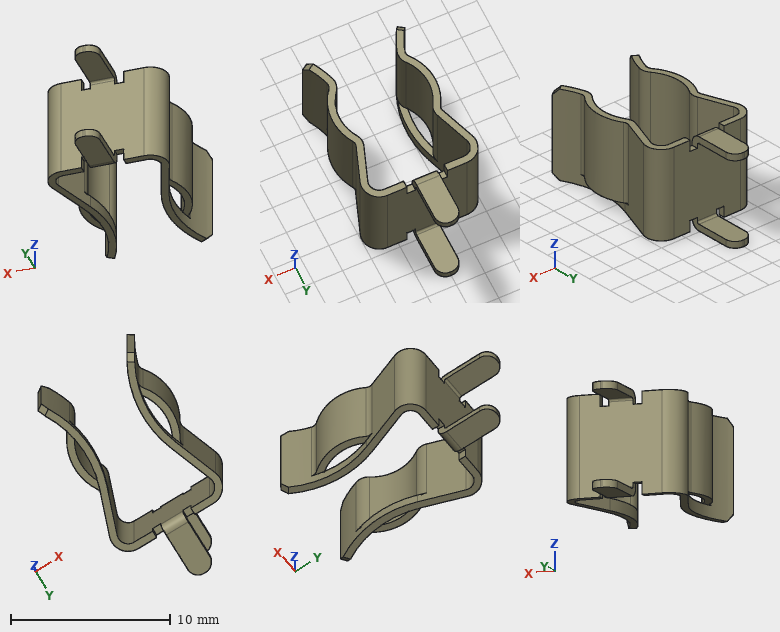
import cadquery as cq
import math


thickness = 0.5
body_width = 7.95
body_height = 6.6
leg_length = 11.0

corner_radius = 1.2
leg_tilt = 20.0

grip_center = (0.0, -6.3)
grip_radius = 3.57
bend_radius = 0.5

flare_radius = 6.82
flare_start_y = -4.6
tip_chamfer = 0.5

strip_height = 0.8

tab_width = 1.62
tab_reach = 3.5
tab_overhang = 0.1
tab_inner_radius = 0.16
tab_tip_radius = 0.75
notch_width = 2.81
notch_depth = 0.8

half_height = body_height / 2


def polar(center, radius, angle):
    """Point at the given radius and angle (degrees) from a centre."""
    a = math.radians(angle)
    return (center[0] + radius * math.cos(a), center[1] + radius * math.sin(a))


def direction(start, end):
    """Angle from one point to another, in degrees from 0 to 360."""
    return math.degrees(math.atan2(end[1] - start[1], end[0] - start[0])) % 360


def circle_crossing(center_a, radius_a, center_b, radius_b):
    """Crossing of two circles that lies to the right of the line from a to b."""
    distance = math.dist(center_a, center_b)
    cosine = (radius_a**2 + distance**2 - radius_b**2) / (2 * radius_a * distance)
    return polar(center_a, radius_a, direction(center_a, center_b) - math.degrees(math.acos(cosine)))


corner_center = (body_width / 2 - corner_radius, -corner_radius)
line_start = polar(corner_center, corner_radius, -leg_tilt)
line_slope = math.tan(math.radians(leg_tilt))
flare_start = (line_start[0] + (flare_start_y - line_start[1]) * line_slope, flare_start_y)
flare_center = polar(flare_start, flare_radius, -leg_tilt)

line_offset = polar(line_start, bend_radius, -leg_tilt)
bend_center_reach = grip_radius + bend_radius
line_normal = polar((0, 0), 1, -leg_tilt)
normal_gap = sum((p - c) * n for p, c, n in zip(line_offset, grip_center, line_normal))
upper_angle = math.degrees(math.acos(normal_gap / bend_center_reach)) - leg_tilt
upper_bend_center = polar(grip_center, bend_center_reach, upper_angle)
lower_bend_center = circle_crossing(grip_center, bend_center_reach, flare_center, flare_radius - bend_radius)
lower_angle = direction(grip_center, lower_bend_center) - 360

tip_drop = leg_length + flare_center[1]
tip_angle = 180 + math.degrees(math.asin(tip_drop / (flare_radius + thickness)))
flare_join_angle = direction(flare_center, lower_bend_center)

corner_bend = (corner_center, corner_radius, -1, 90, -leg_tilt)
grip_bends = [
    corner_bend,
    (upper_bend_center, bend_radius, 1, 180 - leg_tilt, upper_angle + 180),
    (grip_center, grip_radius, -1, upper_angle, lower_angle),
    (lower_bend_center, bend_radius, 1, lower_angle + 180, flare_join_angle),
    (flare_center, flare_radius, 1, flare_join_angle, tip_angle),
]
strip_bends = [
    corner_bend,
    (flare_center, flare_radius, 1, 180 - leg_tilt, tip_angle),
]


def trace_arc(sketch, pen, center, radius, start, end):
    """Add an arc, with a straight run from the pen to its start where they are apart."""
    tolerance = 1.45e-07
    arc_start = polar(center, radius, start)
    arc_end = polar(center, radius, end)
    if math.dist(pen, arc_start) > tolerance:
        sketch = sketch.lineTo(*arc_start)
    sketch = sketch.threePointArc(polar(center, radius, (start + end) / 2), arc_end)
    return sketch, arc_end


def half_band(bends, bottom, height):
    """Back wall and +X leg following the bends, from Z = bottom upward."""
    pen = (0, 0)
    sketch = cq.Workplane("XY").workplane(offset=bottom).moveTo(*pen)
    for center, radius, _, start, end in bends:
        sketch, pen = trace_arc(sketch, pen, center, radius, start, end)
    for center, radius, side, start, end in reversed(bends):
        sketch, pen = trace_arc(sketch, pen, center, radius + side * thickness, end, start)
    return sketch.lineTo(0, -thickness).close().extrude(height)


def half_clip():
    """+X half of the clip with the corners of its leg end chamfered."""
    strip = half_band(strip_bends, -half_height, strip_height)
    grip = half_band(grip_bends, strip_height - half_height, body_height - strip_height)
    tip = polar(flare_center, flare_radius + thickness / 2, tip_angle)
    half = strip.union(grip)
    for z in (-half_height, half_height):
        half = half.edges(cq.NearestToPointSelector((*tip, z))).chamfer(tip_chamfer)
    return half


def notch():
    """Cutter for the opening around the upper tab."""
    return (
        cq.Workplane("XY")
        .box(notch_width, 2 * thickness, notch_depth, centered=(True, True, False))
        .translate((0, -thickness / 2, half_height - notch_depth))
    )


def tab():
    """Upper tab: rises from the back wall, bends back and ends in a rounded tip."""
    top = half_height + tab_overhang
    root = half_height - notch_depth
    outer_radius = tab_inner_radius + thickness
    bend_center = (tab_inner_radius, top - outer_radius)
    return (
        cq.Workplane("YZ")
        .moveTo(-thickness, root)
        .lineTo(-thickness, bend_center[1])
        .threePointArc(polar(bend_center, outer_radius, 135), (bend_center[0], top))
        .lineTo(tab_reach, top)
        .lineTo(tab_reach, top - thickness)
        .lineTo(bend_center[0], top - thickness)
        .threePointArc(polar(bend_center, tab_inner_radius, 135), (0, bend_center[1]))
        .lineTo(0, root)
        .close()
        .extrude(tab_width / 2, both=True)
        .faces(">Y")
        .edges("|Z")
        .fillet(tab_tip_radius)
    )


right_half = half_clip()
result = right_half.union(right_half.mirror("YZ"))
upper_notch = notch()
upper_tab = tab()
result = result.cut(upper_notch).cut(upper_notch.mirror("XY"))
result = result.union(upper_tab).union(upper_tab.mirror("XY"))